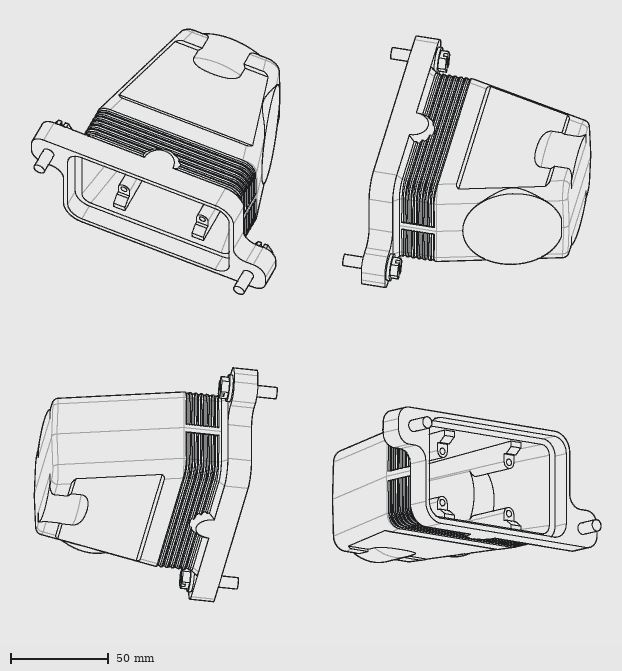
import cadquery as cq
import math


OVERLAP = 1.0

FLANGE_HALF_X = 48.1
FLANGE_HALF_Z = 29.0
FLANGE_THICKNESS = 12.3
FLANGE_CORNER_R = 10.2
EAR_TIP_X = 66.25
EAR_INNER_Z = 9.6
EAR_CORNER_R = 7.0
SKIRT_Y = 15.2
SKIRT_SPREAD = 2.3

HOOD_HALF_X = 45.1
HOOD_HALF_Z = 26.5
HOOD_EDGE_R = 7.3
TAPER_START_Y = 34.7
SIDE_TAPER = 15.0
SIDE_DRAFT = 0.8
HOOD_BACK_Y = 99.9
BACK_FALL = 0.9
BACK_EDGE_R = 3.0
PANEL_DEPTH = 0.7
PANEL_START_Y = 43.0
PANEL_END_Y = 89.2
PANEL_SLOPE = 1.7

GROOVE_COUNT = 6
GROOVE_PITCH = 2.95
FIRST_GROOVE_Y = 17.65
GROOVE_MOUTH = 2.65
GROOVE_DEPTH = 0.7
GROOVE_FLOOR = 1.0
RAIL_HALF_Z = 2.5

BACK_BOSS_R = 29.0
BACK_BOSS_START_Y = 76.4
BACK_BOSS_END_Y = 99.3
BACK_BOSS_EDGE_R = 6.0
BACK_BOSS_TRIM_X = 17.0
SIDE_BOSS_R = 25.7
SIDE_BOSS_Y = 72.5
SIDE_BOSS_INNER_X = 19.1
SIDE_BOSS_END_Y = 96.5

PAD_R = 8.0
PAD_ROOT_Z = 24.0

RECESS_HALF_X = 45.7
RECESS_HALF_Z = 26.3
RECESS_DEPTH = 9.0
RECESS_CORNER_R = 8.0
CAVITY_HALF_X = 41.9
CAVITY_HALF_Z = 23.3
CAVITY_CORNER_R = 5.0
CAVITY_KINK_X = 34.2
CAVITY_KINK_Y = 60.0
CAVITY_BACK_X = 25.5
CAVITY_BACK_HALF_Z = 21.2
CAVITY_BACK_Y = 92.2
CAVITY_RIDGE_Y = 95.5

POST_X = 22.2
POST_Z = 13.4
POST_R = 3.2
POST_FRONT_Y = 17.6
POST_END_Y = 97.0
POST_HOLE_D = 3.3
POST_HOLE_DEPTH = 10.0
TONGUE_FRONT_Y = 12.0
TONGUE_SHOULDER_Y = 16.0
TONGUE_INNER_Z = 17.4
TONGUE_OUTER_Z = 20.4

SCREW_X = 56.5
SCREW_Z = 19.5
SCREW_D = 6.0
SCREW_TIP_Y = -11.3
WASHER_D = 13.8
WASHER_THICKNESS = 1.7
HEAD_FLATS = 9.7
HEAD_HEIGHT = 3.9
DRIVE_SLOT_WIDTH = 1.9
DRIVE_SLOT_DEPTH = 2.0


def facing_back(y):
    """Plane at y whose normal is +Y; local x is Z and local y is X."""
    return cq.Workplane(cq.Plane(origin=(0, y, 0), xDir=(0, 0, 1), normal=(0, 1, 0)))


def cylinder_y(x, z, diameter, start_y, end_y):
    return facing_back(start_y).center(z, x).circle(diameter / 2).extrude(end_y - start_y)


def rounded_block(y, length, half_x, half_z, radius, taper=0.0):
    """Rounded rectangle grown along +Y; positive taper narrows it."""
    outline = cq.Sketch().rect(2 * half_z, 2 * half_x).vertices().fillet(radius)
    return facing_back(y).placeSketch(outline).extrude(length, taper=taper)


def box(x0, x1, y0, y1, z0, z1):
    return cq.Workplane("XY").box(x1 - x0, y1 - y0, z1 - z0, centered=False).translate((x0, y0, z0))


def yz_prism(points, half_x):
    return cq.Workplane("YZ").polyline(points).close().extrude(half_x, both=True)


def xy_prism(points, half_z):
    return cq.Workplane("XY").polyline(points).close().extrude(half_z, both=True)


def both_sides(right_points):
    """Close a plan outline by mirroring its +X points."""
    return right_points + [(-x, y) for x, y in reversed(right_points)]


def hood_half_x(y):
    """Half width of the tapered part of the hood at y."""
    return HOOD_HALF_X - (y - TAPER_START_Y) * math.tan(math.radians(SIDE_TAPER))


def make_flange():
    main = rounded_block(0, FLANGE_THICKNESS, FLANGE_HALF_X, FLANGE_HALF_Z, FLANGE_CORNER_R)
    ear = (
        cq.Workplane("XZ")
        .moveTo(0, FLANGE_HALF_Z)
        .lineTo(-EAR_TIP_X, FLANGE_HALF_Z)
        .lineTo(-EAR_TIP_X, EAR_INNER_Z)
        .lineTo(-FLANGE_HALF_X, EAR_INNER_Z)
        .lineTo(-FLANGE_HALF_X, 0)
        .lineTo(0, 0)
        .close()
        .extrude(-FLANGE_THICKNESS)
    )
    mid_y = FLANGE_THICKNESS / 2
    inner_corner = cq.selectors.NearestToPointSelector((-FLANGE_HALF_X, mid_y, EAR_INNER_Z))
    ear = ear.edges("|Y").edges("<X").fillet(EAR_CORNER_R)
    ear = ear.edges(inner_corner).fillet(EAR_CORNER_R)
    opposite_ear = ear.rotate((0, 0, 0), (0, 1, 0), 180)
    return main.union(ear).union(opposite_ear)


def make_skirt():
    length = SKIRT_Y - FLANGE_THICKNESS
    angle = math.degrees(math.atan2(SKIRT_SPREAD, length))
    return rounded_block(
        FLANGE_THICKNESS, length,
        HOOD_HALF_X + SKIRT_SPREAD, HOOD_HALF_Z + SKIRT_SPREAD, HOOD_EDGE_R + SKIRT_SPREAD,
        taper=angle,
    )


def panel_recess(side):
    """Shallow panel in the top (side = 1) or bottom (side = -1) of the hood."""
    floor = HOOD_HALF_Z - PANEL_DEPTH
    points = [
        (PANEL_START_Y, side * HOOD_HALF_Z),
        (PANEL_START_Y + PANEL_SLOPE, side * floor),
        (PANEL_END_Y - PANEL_SLOPE, side * floor),
        (PANEL_END_Y, side * HOOD_HALF_Z),
    ]
    return yz_prism(points, HOOD_HALF_X)


def make_hood():
    plan = both_sides([
        (HOOD_HALF_X, 0),
        (HOOD_HALF_X, TAPER_START_Y),
        (hood_half_x(HOOD_BACK_Y + OVERLAP), HOOD_BACK_Y + OVERLAP),
    ])
    profile = [
        (0, 0),
        (0, HOOD_HALF_Z),
        (HOOD_BACK_Y - BACK_FALL, HOOD_HALF_Z),
        (HOOD_BACK_Y, 0),
    ]
    half = cq.Workplane("XY").polyline(plan).close().extrude(HOOD_HALF_Z, taper=SIDE_DRAFT)
    half = half.faces(">Z").edges("not |X").fillet(HOOD_EDGE_R)
    half = half.intersect(yz_prism(profile, HOOD_HALF_X))
    half = half.faces(">Y").edges("not <Z").fillet(BACK_EDGE_R)
    hood = half.union(half.mirror("XY"))
    return hood.cut(panel_recess(1)).cut(panel_recess(-1))


def groove_cutter(y):
    """Trapezoidal groove around the hood centred on y, interrupted by the side rails."""
    flank = (GROOVE_MOUTH - GROOVE_FLOOR) / 2
    angle = math.degrees(math.atan2(GROOVE_DEPTH, flank))
    start = y - GROOVE_MOUTH / 2
    floor_x = HOOD_HALF_X - GROOVE_DEPTH
    floor_z = HOOD_HALF_Z - GROOVE_DEPTH
    floor_r = HOOD_EDGE_R - GROOVE_DEPTH
    narrowing = rounded_block(start, flank, HOOD_HALF_X, HOOD_HALF_Z, HOOD_EDGE_R, angle)
    floor = rounded_block(start + flank, GROOVE_FLOOR, floor_x, floor_z, floor_r)
    widening = rounded_block(start + flank + GROOVE_FLOOR, flank, floor_x, floor_z, floor_r, -angle)
    rails = box(-FLANGE_HALF_X, FLANGE_HALF_X, start, start + GROOVE_MOUTH, -RAIL_HALF_Z, RAIL_HALF_Z)
    slab = box(-FLANGE_HALF_X, FLANGE_HALF_X, start, start + GROOVE_MOUTH, -FLANGE_HALF_Z, FLANGE_HALF_Z)
    return slab.cut(narrowing).cut(floor).cut(widening).cut(rails)


def make_back_boss():
    length = BACK_BOSS_END_Y - BACK_BOSS_START_Y
    boss = facing_back(BACK_BOSS_START_Y).circle(BACK_BOSS_R).extrude(length)
    boss = boss.faces("<Y").edges().fillet(BACK_BOSS_EDGE_R)
    return boss.intersect(
        box(-BACK_BOSS_TRIM_X, BACK_BOSS_TRIM_X, 0, HOOD_BACK_Y, -BACK_BOSS_R, BACK_BOSS_R)
    )


def make_side_boss():
    """Closed round boss through the +X wall, flush with its slanted face."""
    angle = math.radians(SIDE_TAPER)
    axis = (math.cos(angle), math.sin(angle), 0)
    face_centre = (hood_half_x(SIDE_BOSS_Y), SIDE_BOSS_Y, 0)
    face = cq.Plane(origin=face_centre, xDir=(0, 0, 1), normal=axis)
    boss = cq.Workplane(face).circle(SIDE_BOSS_R).extrude(-HOOD_HALF_X)
    return boss.intersect(
        box(SIDE_BOSS_INNER_X, HOOD_HALF_X, 0, SIDE_BOSS_END_Y, -HOOD_HALF_Z, HOOD_HALF_Z)
    )


def make_pad(side):
    """Half-round pad flush with the flange, with a 45 degree conical flank."""
    drop = FLANGE_HALF_Z - PAD_ROOT_Z
    cone = cq.Workplane("XZ").polyline([
        (0, PAD_ROOT_Z),
        (PAD_R + drop, PAD_ROOT_Z),
        (PAD_R, FLANGE_HALF_Z),
        (0, FLANGE_HALF_Z),
    ]).close().revolve(360, (0, 0), (0, 1))
    cone = cone.translate((0, FLANGE_THICKNESS, 0))
    reach = PAD_R + drop
    cone = cone.intersect(
        box(-reach, reach, FLANGE_THICKNESS, FLANGE_THICKNESS + reach, 0, FLANGE_HALF_Z)
    )
    return cone if side > 0 else cone.mirror("XY")


def make_cavity():
    """Tapered room with round long edges, closed in further back by two flat slanted walls."""
    wall_slope = (CAVITY_HALF_X - CAVITY_KINK_X) / (CAVITY_KINK_Y - RECESS_DEPTH)
    room_back_x = CAVITY_HALF_X - wall_slope * (CAVITY_RIDGE_Y - RECESS_DEPTH)
    room_plan = both_sides([
        (CAVITY_HALF_X, RECESS_DEPTH),
        (room_back_x, CAVITY_RIDGE_Y),
    ])
    profile = [
        (RECESS_DEPTH, CAVITY_HALF_Z),
        (CAVITY_BACK_Y, CAVITY_BACK_HALF_Z),
        (CAVITY_RIDGE_Y, 0),
        (CAVITY_BACK_Y, -CAVITY_BACK_HALF_Z),
        (RECESS_DEPTH, -CAVITY_HALF_Z),
    ]
    room = xy_prism(room_plan, CAVITY_HALF_Z).intersect(yz_prism(profile, CAVITY_HALF_X))
    sloped = room.edges("not(|X or |Z)")
    long_edges = sloped.filter(lambda edge: edge.Length() > CAVITY_HALF_Z)
    room = long_edges.fillet(CAVITY_CORNER_R)
    slanted_walls = both_sides([
        (CAVITY_HALF_X, RECESS_DEPTH),
        (CAVITY_KINK_X, CAVITY_KINK_Y),
        (CAVITY_BACK_X, CAVITY_RIDGE_Y),
    ])
    return room.intersect(xy_prism(slanted_walls, CAVITY_HALF_Z))


def make_recess():
    return rounded_block(0, RECESS_DEPTH, RECESS_HALF_X, RECESS_HALF_Z, RECESS_CORNER_R)


def make_post(side_x, side_z):
    """Post for an insert screw, with a guide tongue along the wall in front of it."""
    x = side_x * POST_X
    bar = cylinder_y(x, side_z * POST_Z, 2 * POST_R, POST_FRONT_Y, POST_END_Y)
    web_z = sorted([side_z * POST_Z, side_z * (CAVITY_HALF_Z + OVERLAP)])
    web = box(x - POST_R, x + POST_R, POST_FRONT_Y, POST_END_Y, *web_z)
    tongue = yz_prism([
        (TONGUE_FRONT_Y, side_z * (CAVITY_HALF_Z + OVERLAP)),
        (TONGUE_FRONT_Y, side_z * TONGUE_OUTER_Z),
        (TONGUE_SHOULDER_Y, side_z * TONGUE_INNER_Z),
        (POST_FRONT_Y, side_z * TONGUE_INNER_Z),
        (POST_FRONT_Y, side_z * (CAVITY_HALF_Z + OVERLAP)),
    ], POST_R).translate((x, 0, 0))
    hole = cylinder_y(
        x, side_z * POST_Z, POST_HOLE_D, POST_FRONT_Y, POST_FRONT_Y + POST_HOLE_DEPTH
    )
    return bar.union(web).union(tongue).cut(hole)


def make_screw(x, z):
    """Slotted hexagon screw with a washer, seated on the back of an ear."""
    head_y = FLANGE_THICKNESS + WASHER_THICKNESS
    head_top = head_y + HEAD_HEIGHT
    shank = cylinder_y(x, z, SCREW_D, SCREW_TIP_Y, head_y)
    washer = cylinder_y(x, z, WASHER_D, FLANGE_THICKNESS, head_y)
    corner_d = HEAD_FLATS / math.cos(math.pi / 6)
    head = cq.Workplane("XZ", origin=(x, head_y, z)).polygon(6, corner_d).extrude(-HEAD_HEIGHT)
    slot = box(
        x - DRIVE_SLOT_WIDTH / 2, x + DRIVE_SLOT_WIDTH / 2,
        head_top - DRIVE_SLOT_DEPTH, head_top,
        z - corner_d, z + corner_d,
    )
    return shank.union(washer).union(head.cut(slot))


hood = make_hood()
for index in range(GROOVE_COUNT):
    hood = hood.cut(groove_cutter(FIRST_GROOVE_Y + index * GROOVE_PITCH))

side_boss = make_side_boss()
shell = hood.union(make_skirt()).union(make_flange())
shell = shell.union(make_pad(1)).union(make_pad(-1))
shell = shell.union(make_back_boss()).union(side_boss)
shell = shell.cut(make_recess()).cut(make_cavity().cut(side_boss))

for side_x in (1, -1):
    for side_z in (1, -1):
        shell = shell.union(make_post(side_x, side_z))

result = shell.union(make_screw(-SCREW_X, SCREW_Z)).union(make_screw(SCREW_X, -SCREW_Z))